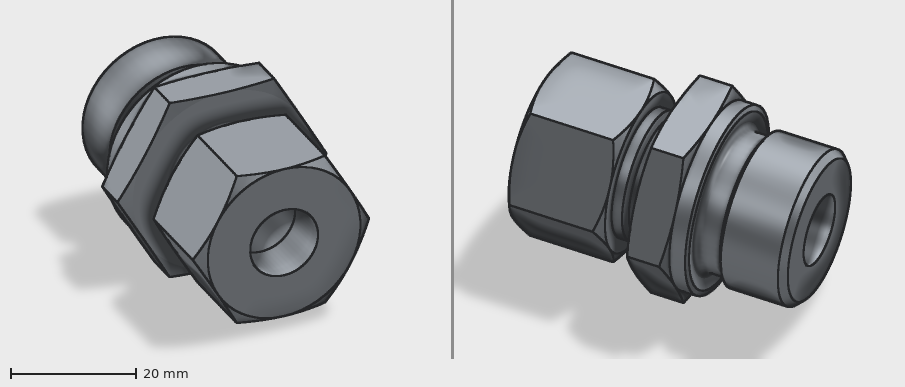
import cadquery as cq
import math

total_length = 48.5
bore_diameter = 12.0

thread_radius = 26.44 / 2
thread_chamfer = 1.2
thread_end = 11.25
undercut_radius = 11.85
undercut_fillet = 1.2
runout_angle = math.radians(60)

seal_x = 16.0
seal_edge_radius = 15.0
collar_edge_drop = 0.25
collar_recess = 0.3

hex_start = 19.0
hex_width = 7.0
hex_flats = 32.0
hex_chamfer_angle = 15.0
hex_end = hex_start + hex_width
collar_radius = hex_flats / 2

neck_radius = 9.85
neck_fillet = 0.8
neck_end = 29.0
joint_radius = 22.0 / 2
joint_end = 40.0

nut_length = 17.0
nut_flats = 27.0
nut_chamfer_angle = 30.0
nut_start = total_length - nut_length


def revolve_about_x(outline):
    """Turn a closed outline, drawn as (x, radius), about the X axis."""
    return outline.close().revolve(360, (0, 0, 0), (1, 0, 0))


def cylinder_x(start, end, diameter):
    return cq.Workplane("YZ", origin=(start, 0, 0)).circle(diameter / 2).extrude(end - start)


def chamfered_hex(start, length, flats, chamfer_angle):
    """Hexagonal prism, flats facing +Z and -Z, with both ends turned to a cone."""
    corner_radius = flats / 2 / math.cos(math.pi / 6)
    flat_radius = flats / 2
    cone_length = (corner_radius - flat_radius) * math.tan(math.radians(chamfer_angle))
    end = start + length
    prism = cq.Workplane("YZ", origin=(start, 0, 0)).polygon(6, 2 * corner_radius).extrude(length)
    envelope = revolve_about_x(
        cq.Workplane("XY")
        .moveTo(start, 0)
        .lineTo(start, flat_radius)
        .lineTo(start + cone_length, corner_radius)
        .lineTo(end - cone_length, corner_radius)
        .lineTo(end, flat_radius)
        .lineTo(end, 0)
    )
    return prism.intersect(envelope)


def turned_stud():
    """Thread, undercut and collar on the -X side of the hexagon."""
    runout = (thread_radius - undercut_radius) / math.tan(runout_angle)
    fillet_end = seal_x + collar_recess
    fillet_start = fillet_end - undercut_fillet
    return revolve_about_x(
        cq.Workplane("XY")
        .moveTo(0, 0)
        .lineTo(0, thread_radius - thread_chamfer)
        .lineTo(thread_chamfer, thread_radius)
        .lineTo(thread_end, thread_radius)
        .lineTo(thread_end + runout, undercut_radius)
        .lineTo(fillet_start, undercut_radius)
        .radiusArc((fillet_end, undercut_radius + undercut_fillet), -undercut_fillet)
        .lineTo(seal_x, seal_edge_radius)
        .lineTo(seal_x + collar_edge_drop, collar_radius)
        .lineTo(hex_start, collar_radius)
        .lineTo(hex_start, 0)
    )


def turned_joint():
    """Neck and threaded end on the +X side of the hexagon."""
    runout = (joint_radius - neck_radius) / math.tan(runout_angle)
    return revolve_about_x(
        cq.Workplane("XY")
        .moveTo(hex_end, 0)
        .lineTo(hex_end, neck_radius + neck_fillet)
        .radiusArc((hex_end + neck_fillet, neck_radius), -neck_fillet)
        .lineTo(neck_end, neck_radius)
        .lineTo(neck_end + runout, joint_radius)
        .lineTo(joint_end, joint_radius)
        .lineTo(joint_end, 0)
    )


def make_body():
    hexagon = chamfered_hex(hex_start, hex_width, hex_flats, hex_chamfer_angle)
    solid = turned_stud().union(hexagon).union(turned_joint())
    return solid.cut(cylinder_x(0, joint_end, bore_diameter))


def make_nut():
    """Hexagon nut with a socket for the threaded end and the bore carried on through."""
    nut_hex = chamfered_hex(nut_start, nut_length, nut_flats, nut_chamfer_angle)
    socket = cylinder_x(nut_start, joint_end, 2 * joint_radius)
    through_bore = cylinder_x(nut_start, total_length, bore_diameter)
    return nut_hex.cut(socket).cut(through_bore)


body = make_body()
nut = make_nut()

result = cq.Compound.makeCompound([body.solids().val(), nut.solids().val()])